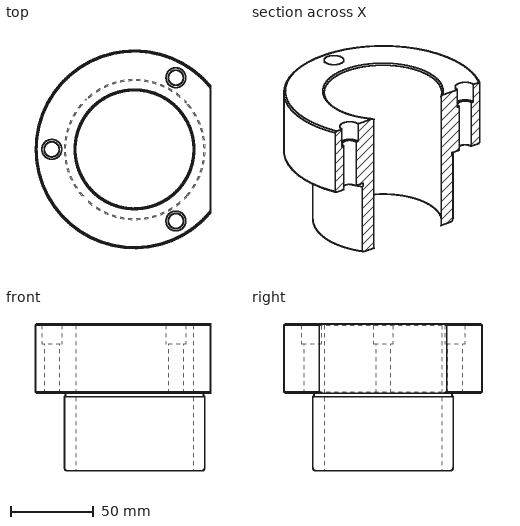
import cadquery as cq

flange_diameter = 119.9
flat_offset = 46.0
total_height = 89.0
flange_height = 42.0

spigot_diameter = 85.0
groove_depth = 0.7
groove_height = 2.0
groove_root_radius = 0.7
spigot_edge_radius = 2.0

bore_diameter = 71.0
edge_chamfer = 1.0

hole_count = 3
hole_circle_radius = 50.0
hole_diameter = 9.0
counterbore_diameter = 12.0
counterbore_depth = 12.0
first_hole_angle = 60.0

flange_bottom = total_height - flange_height
neck_radius = spigot_diameter / 2 - groove_depth
spigot_height = flange_bottom - groove_height


def cylinder(diameter, height, bottom):
    return cq.Workplane("XY").workplane(offset=bottom).circle(diameter / 2).extrude(height)


flange = cylinder(flange_diameter, flange_height, flange_bottom).edges("%CIRCLE").chamfer(edge_chamfer)
flat_cutter = (
    cq.Workplane("XY")
    .box(flange_diameter, flange_diameter, total_height, centered=(False, True, False))
    .translate((flat_offset, 0, flange_bottom))
)
flange = flange.cut(flat_cutter)

spigot = cylinder(spigot_diameter, spigot_height, 0).faces("<Z").edges().fillet(spigot_edge_radius)
neck = cylinder(2 * neck_radius, groove_height, spigot_height)

root_round = (
    cq.Workplane("XZ")
    .moveTo(neck_radius, spigot_height)
    .lineTo(neck_radius + groove_root_radius, spigot_height)
    .radiusArc((neck_radius, spigot_height + groove_root_radius), groove_root_radius)
    .close()
    .revolve(360, (0, 0, 0), (0, 1, 0))
)
body = flange.union(neck).union(spigot).union(root_round)

bore = cylinder(bore_diameter, total_height, 0)
body = body.cut(bore)
body = body.faces(">Z").edges(cq.selectors.RadiusNthSelector(0)).chamfer(edge_chamfer)

result = (
    body.faces(">Z")
    .workplane(origin=(0, 0, total_height))
    .polarArray(hole_circle_radius, first_hole_angle, 360, hole_count)
    .cboreHole(hole_diameter, counterbore_diameter, counterbore_depth)
)